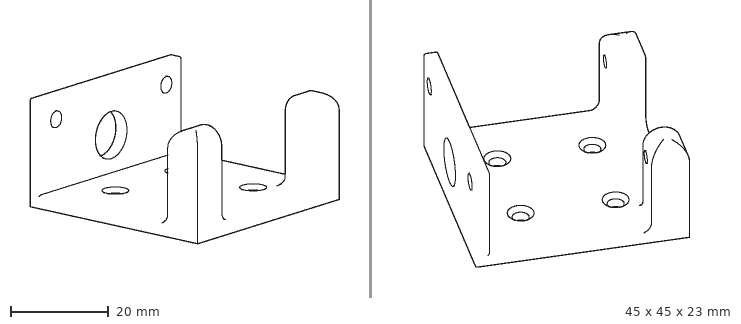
import cadquery as cq

length = 45.0
width = 45.0
height = 23.0
thickness = 3.0
edge_radius = 0.5

post_size = 8.0
crown_radius = post_size / 2
crown_base_z = height - crown_radius
foot_radius = 2.0
foot_top_z = thickness + foot_radius
post_start_x = length - post_size
foot_start_x = post_start_x - foot_radius
foot_end_y = post_size + foot_radius

screw_diameter = 3.5
countersink_diameter = 5.5
countersink_angle = 90.0
screw_spacing = 20.0

window_diameter = 10.0
window_center_z = 11.0
rod_inset_y = 5.0
rod_center_z = 18.0
wall_rod_diameter = 3.5
post_rod_diameter = 2.7
post_rod_depth = 5.0


def make_floor_and_wall():
    """L-shaped body, rounded on the wall edges and on the floor edges along X."""
    floor = cq.Workplane("XY").box(length, width, thickness, centered=False)
    wall = cq.Workplane("XY").box(thickness, width, height, centered=False)
    body = floor.union(wall)

    outer_wall_edges = body.faces("<X").edges("|Z").vals()
    inner_wall_edges = body.faces("+X").faces("<X").edges("|Z").vals()
    top_wall_edges = body.faces(">Z").edges().vals()
    floor_edges = body.faces("+Z").faces("<Z").edges("|X").vals()
    rounded_edges = outer_wall_edges + inner_wall_edges + top_wall_edges + floor_edges
    return body.newObject(rounded_edges).fillet(edge_radius)


def make_sharp_post():
    """Post at the Y = 0 corner: two crossing profiles give the mitred foot and the hipped crown."""
    along_x = (
        cq.Workplane("XZ")
        .moveTo(foot_start_x, 0)
        .lineTo(foot_start_x, thickness)
        .radiusArc((post_start_x, foot_top_z), -foot_radius)
        .lineTo(post_start_x, crown_base_z)
        .threePointArc((post_start_x + crown_radius, height), (length, crown_base_z))
        .lineTo(length, 0)
        .close()
        .extrude(-foot_end_y)
    )
    along_y = (
        cq.Workplane("YZ", origin=(foot_start_x, 0, 0))
        .lineTo(0, crown_base_z)
        .radiusArc((crown_radius, height), crown_radius)
        .lineTo(post_size, height)
        .lineTo(post_size, foot_top_z)
        .radiusArc((foot_end_y, thickness), -foot_radius)
        .lineTo(foot_end_y, 0)
        .close()
        .extrude(length - foot_start_x)
    )
    return along_x.intersect(along_y)


def make_foot_end_trim():
    """Waste at the outer end of the foot, where the foot wraps around the rounded floor edge.

    The wrapped foot is its profile turned about the centreline of the floor edge rounding.
    """
    axis_z = thickness - edge_radius
    wrapped_foot = (
        cq.Workplane("XZ", origin=(0, edge_radius, 0))
        .moveTo(foot_start_x, axis_z)
        .lineTo(foot_start_x, thickness)
        .radiusArc((post_start_x, foot_top_z), -foot_radius)
        .lineTo(post_start_x, axis_z)
        .close()
        .revolve(360, (foot_start_x, axis_z, 0), (post_start_x, axis_z, 0))
    )
    end_strip = (
        cq.Workplane("XY")
        .box(foot_radius, edge_radius, foot_top_z - axis_z, centered=False)
        .translate((foot_start_x, 0, axis_z))
    )
    return end_strip.cut(wrapped_foot)


def mirror_across_middle(shape):
    """Copy on the other side of the bracket's middle plane in Y."""
    return shape.mirror("XZ", (0, width / 2, 0))


def round_inner_post_edges(body):
    """Round the edge loop of each post's inner face, which runs on into the floor edge at +X."""
    edges = []
    for inner_face_y in (post_size, width - post_size):
        crown_top = (post_start_x + crown_radius, inner_face_y, height)
        loop_edge = body.edges("%CIRCLE").edges(cq.selectors.NearestToPointSelector(crown_top))
        edges += loop_edge.vals()
    return body.newObject(edges).fillet(edge_radius)


def cut_screw_holes(body):
    """Four countersunk holes through the floor."""
    return (
        body.copyWorkplane(cq.Workplane("XY", origin=(length / 2, width / 2, thickness)))
        .rarray(screw_spacing, screw_spacing, 2, 2)
        .cskHole(screw_diameter, countersink_diameter, countersink_angle, depth=thickness)
    )


def x_cylinder(diameter, start_x, center_y, center_z, depth):
    """Cylinder along +X."""
    origin = (start_x, center_y, center_z)
    return cq.Workplane("YZ", origin=origin).circle(diameter / 2).extrude(depth)


def cut_wall_and_post_holes(body):
    """Round window and two rod holes through the wall, with blind rod holes in the posts."""
    body = body.cut(x_cylinder(window_diameter, 0, width / 2, window_center_z, thickness))
    for rod_y in (rod_inset_y, width - rod_inset_y):
        body = body.cut(x_cylinder(wall_rod_diameter, 0, rod_y, rod_center_z, thickness))
        body = body.cut(x_cylinder(post_rod_diameter, post_start_x, rod_y, rod_center_z, post_rod_depth))
    return body


post = make_sharp_post().cut(make_foot_end_trim())
bracket = make_floor_and_wall().union(post).union(mirror_across_middle(post))
bracket = round_inner_post_edges(bracket)
bracket = cut_screw_holes(bracket)
result = cut_wall_and_post_holes(bracket)